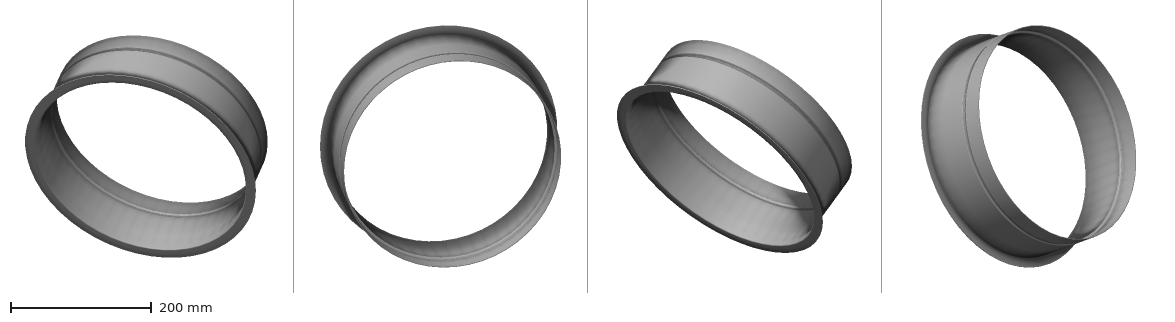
import cadquery as cq

flange_radius = 171.7
length = 102.5
tube_radius = 157.5
wall = 1.0
bend_radius = 0.7
groove_from_end = 29.5
groove_depth = 2.7
groove_floor_width = 3.5
groove_mouth_width = 7.0
groove_blend = 1.0

front = -length / 2
back = length / 2
bore_radius = tube_radius - wall
groove_y = back - groove_from_end


def groove_ring(surface_radius):
    """Trapezoidal path of the rolled groove, from the flange side to the plain end."""
    floor_radius = surface_radius - groove_depth
    return [
        (surface_radius, groove_y - groove_mouth_width / 2),
        (floor_radius, groove_y - groove_floor_width / 2),
        (floor_radius, groove_y + groove_floor_width / 2),
        (surface_radius, groove_y + groove_mouth_width / 2),
    ]


def wall_section():
    """Half section of the sheet: flange, tube and groove."""
    outside = [(flange_radius, front + wall), (tube_radius, front + wall)]
    outside += groove_ring(tube_radius) + [(tube_radius, back)]
    inside = [(bore_radius, back)] + groove_ring(bore_radius)[::-1]
    inside += [(bore_radius, front), (flange_radius, front)]
    return cq.Workplane("XY").polyline(outside + inside).close()


def edges_near(body, y_min, y_max):
    """Circular edges whose centres lie between two stations along the axis."""
    box_half = flange_radius + 3.5
    return body.edges(cq.selectors.BoxSelector(
        (-box_half, y_min, -box_half), (box_half, y_max, box_half), boundingbox=True))


collar = wall_section().revolve(360, (0, 0, 0), (0, 1, 0))

collar = edges_near(collar, groove_y - groove_mouth_width, groove_y + groove_mouth_width).edges(
    "%CIRCLE").fillet(groove_blend)

bore_corner = cq.selectors.RadiusNthSelector(0)
collar = edges_near(collar, front - wall / 2, front + wall / 2).edges("%CIRCLE").edges(
    bore_corner).fillet(bend_radius + wall)
collar = edges_near(collar, front + wall / 2, front + wall * 1.5).edges("%CIRCLE").edges(
    bore_corner).fillet(bend_radius)

result = collar